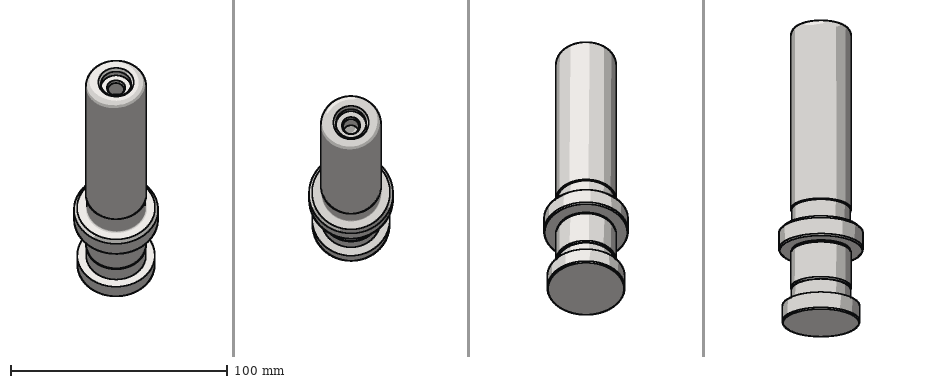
import cadquery as cq
import math

total_height = 146.0
foot_height = 8.3
joint_height = 16.5
flange_bottom = 35.9
flange_top = 46.1
relief_top = 56.5

pillar_radius = 14.0
relief_radius = 13.6
flange_radius = 39.0 / 2
collar_radius = 13.9
foot_radius = 18.0

nose_fillet = 3.5
neck_fillet = 0.9
flange_top_chamfer = 1.5
flange_bottom_chamfer_width = 0.5
flange_bottom_chamfer_height = 0.9
groove_width = 0.7
relief_step = pillar_radius - relief_radius
end_chamfer_height = 1.0
foot_chamfer_width = 0.5
foot_chamfer_height = 0.7

recess_radius = 7.0
recess_depth = 4.4
recess_chamfer_width = 1.2
recess_chamfer_depth = 1.3
bore_radius = 3.6
bore_chamfer_width = 0.6
bore_chamfer_depth = 1.3
bore_depth = 14.6
drill_tip_angle = 118.0


def revolve_about_z(profile):
    """Close a radius-height profile and spin it around the Z axis."""
    return profile.close().revolve(360, (0, 0, 0), (0, 1, 0))


def make_centre_hole():
    recess_floor = total_height - recess_depth
    bore_bottom = total_height - bore_depth
    tip_depth = bore_radius / math.tan(math.radians(drill_tip_angle / 2))
    profile = (
        cq.Workplane("XZ")
        .moveTo(0, total_height)
        .lineTo(recess_radius + recess_chamfer_width, total_height)
        .lineTo(recess_radius, total_height - recess_chamfer_depth)
        .lineTo(recess_radius, recess_floor)
        .lineTo(bore_radius + bore_chamfer_width, recess_floor)
        .lineTo(bore_radius, recess_floor - bore_chamfer_depth)
        .lineTo(bore_radius, bore_bottom)
        .lineTo(0, bore_bottom - tip_depth)
    )
    return revolve_about_z(profile)


def make_pillar():
    groove_bottom = flange_bottom - groove_width
    profile = (
        cq.Workplane("XZ")
        .moveTo(0, joint_height)
        .lineTo(relief_radius, joint_height)
        .lineTo(pillar_radius, joint_height + end_chamfer_height)
        .lineTo(pillar_radius, groove_bottom - relief_step)
        .lineTo(relief_radius, groove_bottom)
        .lineTo(relief_radius, flange_bottom)
        .lineTo(flange_radius - flange_bottom_chamfer_width, flange_bottom)
        .lineTo(flange_radius, flange_bottom + flange_bottom_chamfer_height)
        .lineTo(flange_radius, flange_top - flange_top_chamfer)
        .lineTo(flange_radius - flange_top_chamfer, flange_top)
        .lineTo(relief_radius + neck_fillet, flange_top)
        .radiusArc((relief_radius, flange_top + neck_fillet), neck_fillet)
        .lineTo(relief_radius, relief_top - relief_step)
        .lineTo(pillar_radius, relief_top)
        .lineTo(pillar_radius, total_height - nose_fillet)
        .radiusArc((pillar_radius - nose_fillet, total_height), -nose_fillet)
        .lineTo(0, total_height)
    )
    return revolve_about_z(profile).cut(make_centre_hole())


def make_retainer():
    """Flanged foot seated against the lower end of the pillar."""
    profile = (
        cq.Workplane("XZ")
        .lineTo(foot_radius - foot_chamfer_width, 0)
        .lineTo(foot_radius, foot_chamfer_height)
        .lineTo(foot_radius, foot_height)
        .lineTo(collar_radius, foot_height)
        .lineTo(collar_radius, joint_height)
        .lineTo(0, joint_height)
    )
    return revolve_about_z(profile)


pillar = make_pillar()
retainer = make_retainer()

result = cq.Compound.makeCompound([pillar.val(), retainer.val()])